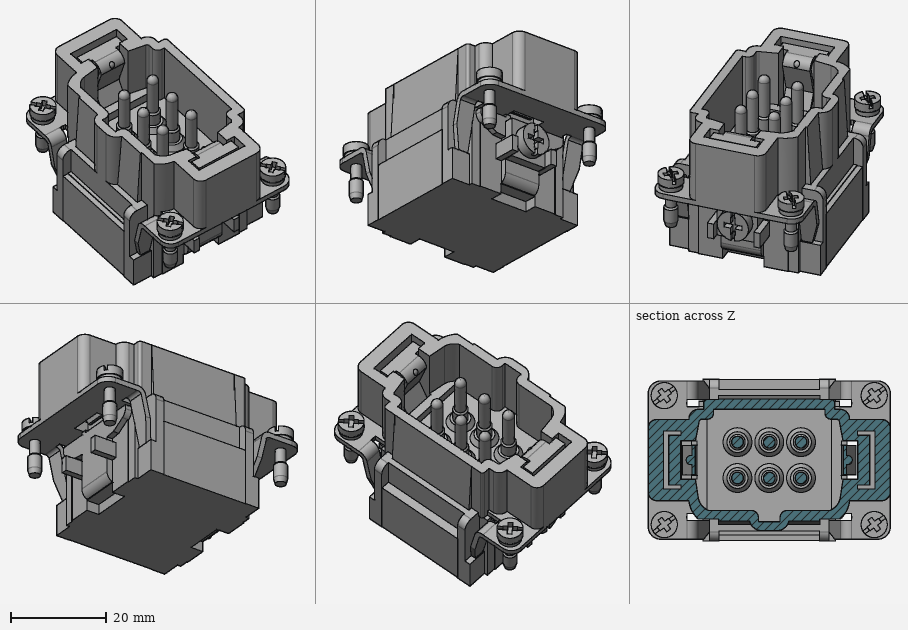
import cadquery as cq
import math

length = 50.85
width = 34.0
height = 33.35

half_length = length / 2
half_width = width / 2

plate_top = 19.55
plate_thickness = 1.2
plate_bottom = plate_top - plate_thickness
plate_half_width = 16.65
plate_corner = 2.7
notch_inner_y = 11.25
tab_inner_y = 12.65
notch_end_x = 17.3
tab_end_z = 7.5
tab_taper_z = 12.7
tab_tip_y = 15.1
tab_bend_x = 17.25
tab_knee_z = 17.85

body_half_x = 14.95
body_half_y = 12.35
body_corner_x = 14.75
body_corner_y = 10.1
foot_half_x = 13.95
foot_height = 7.3
rib_outer_x = 12.55
rib_inner_x = 10.55
rib_rounding = 1.95
panel_height = 12.95
panel_inset = 0.1
panel_step_y = 15.65
panel_step_height = 0.15
shelf_y = 14.85
notch_half_y = 4.65
notch_height = 2.4
notch_depth = 3.05

end_block_half_y = 4.55
end_block_x = 16.3
end_block_top = 17.3
end_block_rounding = 2.25
lug_width = 1.4
lug_x = 20.4
lug_bottom = 7.85
lug_top = 11.4
stop_width = 1.2
stop_y = 3.8
stop_z = 17.7

shroud_end_y = 8.55
shroud_corner = 1.9
wall_y = 12.7
wall_foot_y = 13.55
drafted_half_x = 10.65
key_flat_x = 1.5
key_side_x = 4.15
key_groove_x = 2.25
key_groove_y = 12.9
cavity_floor = 18.8
ledge_x = 13.05
ledge_z = 20.85

latch_inner_x = 15.1
latch_outer_x = 18.55
latch_half_y = 4.0
trench_x = 22.15
trench_half_y = 6.05
plateau_x = 21.1
plateau_half_y = 5.25
plateau_top = 32.6
spring_half_y = 3.1
spring_thickness = 0.7
dimple_radius = 1.0
dimple_x = 16.5
dimple_z = 31.0

pin_pitch_x = 6.65
pin_y = 3.75
pin_diameter = 2.5
pin_tip_z = 32.85
collar_diameter = 3.25
collar_top = 23.4
collar_chamfer = 0.4
cone_base_diameter = 6.05
cone_top_diameter = 4.35
cone_height = 1.25

screw_x = 22.0
screw_y = 13.55
head_diameter = 5.5
head_neck_diameter = 5.0
head_top = 22.75
head_step_z = 20.7
shank_diameter = 2.35
thread_diameter = 3.0
thread_top = 14.6
thread_lead = 0.4
tip_top = 11.45
tip_bottom = 10.2
tip_diameter = 2.35
slot_angle = 37.0
slot_width = 0.75
slot_depth = 1.1
cross_width = 1.0
cross_depth = 1.55
cross_span = 3.05

terminal_x = 18.4
terminal_bottom = 7.7
terminal_top = 16.6
earth_head_diameter = 7.0
earth_head_x = 20.95
earth_cross_span = 4.05


def box(x0, x1, y0, y1, z0, z1):
    """Axis-aligned block between two opposite corners."""
    return cq.Workplane("XY").box(x1 - x0, y1 - y0, z1 - z0, centered=False).translate((x0, y0, z0))


def mirrored_x(solid):
    """The solid together with its mirror image on the other X side."""
    return solid.union(solid.mirror("YZ"))


def mirrored_y(solid):
    """The solid together with its mirror image on the other Y side."""
    return solid.union(solid.mirror("XZ"))


def turned(profile):
    """Revolve an (r, z) profile about the Z axis."""
    return cq.Workplane("XZ").polyline(profile).close().revolve(360, (0, 0), (0, 1))


def lower_body():
    core = box(-body_half_x, body_half_x, -body_corner_y, body_corner_y, 0, plate_bottom)
    core = core.union(box(-body_corner_x, body_corner_x, -body_half_y, body_half_y, 0, plate_bottom))
    notch = box(body_half_x - notch_depth, body_half_x, -notch_half_y, notch_half_y, 0, notch_height)
    return core.cut(mirrored_x(notch))


def side_wall():
    """Foot, panel, shelf and two rounded ribs on the -Y side."""
    inner_y = -body_half_y
    outer_y = -half_width
    foot = box(rib_inner_x, foot_half_x, outer_y, inner_y, 0, foot_height)
    panel = box(-rib_inner_x, rib_inner_x, outer_y + panel_inset, inner_y, 0, panel_height)
    shelf = box(-rib_inner_x, rib_inner_x, -shelf_y, inner_y, 0, plate_top)
    rib = box(rib_inner_x, rib_outer_x, outer_y, inner_y, 0, plate_top)
    rib = rib.edges("|X and >Z and <Y").fillet(rib_rounding)
    return panel.union(shelf).union(mirrored_x(rib.union(foot)))


def mounting_plate():
    plate = box(-half_length, half_length, -plate_half_width, plate_half_width, plate_bottom, plate_top)
    plate = plate.edges("|Z").fillet(plate_corner)
    gap_radius = (tab_inner_y - notch_inner_y) / 2
    gap = box(-notch_end_x + gap_radius, notch_end_x - gap_radius,
              notch_inner_y, tab_inner_y, plate_bottom, plate_top)
    gap = gap.union(box(-tab_bend_x, tab_bend_x, notch_inner_y, half_width, plate_bottom, plate_top))
    round_centre = (notch_end_x - gap_radius, notch_inner_y + gap_radius, plate_bottom)
    round_end = cq.Workplane("XY", origin=round_centre).circle(gap_radius).extrude(plate_thickness)
    return plate.cut(mirrored_y(gap.union(mirrored_x(round_end))))


def bent_tab():
    """Tab at the +X, +Y corner, bent down against the rib."""
    lean = 2.4
    knee_x = rib_outer_x + lean
    bend = math.sqrt(0.5)
    outer_run = tab_bend_x - knee_x
    outer_drop = plate_top - tab_knee_z
    inner_run = outer_run - plate_thickness
    inner_drop = plate_bottom - tab_knee_z
    side = (
        cq.Workplane("XZ", origin=(0, plate_half_width, 0))
        .moveTo(tab_bend_x, plate_top)
        .threePointArc((tab_bend_x - outer_run * bend, tab_knee_z + outer_drop * bend), (knee_x, tab_knee_z))
        .lineTo(rib_outer_x, tab_end_z)
        .lineTo(rib_outer_x + plate_thickness, tab_end_z)
        .lineTo(knee_x + plate_thickness, tab_knee_z)
        .threePointArc((tab_bend_x - inner_run * bend, tab_knee_z + inner_drop * bend),
                       (tab_bend_x, plate_bottom))
        .close()
        .extrude(plate_half_width - tab_inner_y)
    )
    corner = (
        cq.Workplane("YZ")
        .polyline([(plate_half_width, tab_taper_z), (plate_half_width, tab_end_z), (tab_tip_y, tab_end_z)])
        .close()
        .extrude(half_length)
    )
    return side.cut(corner)


def shroud_outline():
    """Outer outline of the shroud, with the rounded key on the -Y side."""
    key_run = key_side_x - key_flat_x
    key_rise = shelf_y - wall_y
    key_radius = (key_run ** 2 + key_rise ** 2) / (2 * key_rise)
    half_angle = math.asin(key_run / key_radius) / 2
    key_mid_x = key_flat_x + key_radius * math.sin(half_angle)
    key_mid_y = shelf_y - key_radius * (1 - math.cos(half_angle))
    end_mid = shroud_corner * (1 - math.sqrt(0.5))
    corner_x = half_length - shroud_corner
    corner_y = shroud_end_y - shroud_corner
    neck_x = 16.9
    shoulder_x = 13.8
    shoulder_y = 10.7
    return (
        cq.Workplane("XY", origin=(0, 0, plate_bottom))
        .moveTo(0, wall_y)
        .lineTo(-shoulder_x + 0.6, wall_y)
        .threePointArc((-shoulder_x + 0.2, wall_y - 0.2), (-shoulder_x, wall_y - 0.6))
        .lineTo(-shoulder_x, shoulder_y)
        .lineTo(-15.05, shoulder_y)
        .threePointArc((-16.3, 10.0), (-neck_x, shroud_end_y))
        .lineTo(-corner_x, shroud_end_y)
        .threePointArc((-half_length + end_mid, shroud_end_y - end_mid), (-half_length, corner_y))
        .lineTo(-half_length, -corner_y)
        .threePointArc((-half_length + end_mid, -shroud_end_y + end_mid), (-corner_x, -shroud_end_y))
        .lineTo(-neck_x, -shroud_end_y)
        .threePointArc((-16.35, -10.35), (-14.95, -body_half_y))
        .lineTo(-drafted_half_x, -body_half_y)
        .lineTo(-drafted_half_x, -wall_y)
        .lineTo(-key_side_x, -wall_y)
        .threePointArc((-key_mid_x, -key_mid_y), (-key_flat_x, -shelf_y))
        .lineTo(0, -shelf_y)
        .mirrorY()
    )


def cavity_outline():
    """Inner outline of the shroud, with the groove behind the key."""
    return (
        cq.Workplane("XY", origin=(0, 0, cavity_floor))
        .moveTo(0, 10.65)
        .lineTo(-11.65, 10.65)
        .lineTo(-11.65, 9.95)
        .threePointArc((-12.05, 8.95), (-13.05, shroud_end_y))
        .lineTo(-14.2, shroud_end_y)
        .threePointArc((-14.55, 8.4), (-14.7, 8.05))
        .lineTo(-15.45, latch_half_y)
        .lineTo(-15.45, -latch_half_y)
        .lineTo(-14.85, -8.05)
        .threePointArc((-14.15, -9.5), (-12.75, -10.55))
        .lineTo(-key_groove_x - 1.55, -10.55)
        .threePointArc((-2.7, -11.0), (-key_groove_x, -12.05))
        .lineTo(-key_groove_x, -key_groove_y)
        .lineTo(0, -key_groove_y)
        .mirrorY()
    )


def drafted_wall():
    """Sloping outer skin of the +Y long wall."""
    return (
        cq.Workplane("YZ", origin=(-drafted_half_x, 0, 0))
        .polyline([(wall_y - 0.5, plate_top), (wall_foot_y, plate_top), (wall_y, height), (wall_y - 0.5, height)])
        .close()
        .extrude(2 * drafted_half_x)
    )


def latch_opening():
    """Slot and trench for the latch at the +X end."""
    trench = box(latch_outer_x, trench_x, -trench_half_y, trench_half_y, plate_top, height)
    plateau = box(latch_outer_x, plateau_x, -plateau_half_y, plateau_half_y, plate_top, plateau_top)
    slot = box(latch_inner_x, latch_outer_x, -latch_half_y, latch_half_y, plate_bottom, height)
    return trench.cut(plateau).union(slot)


def latch_spring():
    """Dimpled leaf at the +X end that rolls over, bends back and returns to the ledge."""
    lip_x = 17.7
    crease = (15.45, 30.5)
    knee = (17.5, 24.15)
    foot = (15.0, 19.85)
    leaf = (
        cq.Workplane("XZ", origin=(0, spring_half_y, 0))
        .moveTo(latch_outer_x, plateau_top)
        .lineTo(lip_x, plateau_top)
        .threePointArc((16.25, 32.05), crease)
        .lineTo(*knee)
        .lineTo(*foot)
        .lineTo(foot[0] + spring_thickness, foot[1])
        .lineTo(knee[0] + spring_thickness, knee[1])
        .lineTo(crease[0] + spring_thickness, crease[1])
        .threePointArc((16.7, 31.5), (lip_x, plateau_top - spring_thickness))
        .lineTo(latch_outer_x, plateau_top - spring_thickness)
        .close()
        .extrude(2 * spring_half_y)
    )
    dimple = cq.Workplane("XY").sphere(dimple_radius).translate((dimple_x, 0, dimple_z))
    return leaf.union(dimple)


def cavity():
    """Space inside the shroud, with a raised ledge left standing at each end."""
    ledge = box(ledge_x, half_length, -half_width, half_width, cavity_floor, ledge_z)
    return cavity_outline().extrude(height - cavity_floor).cut(mirrored_x(ledge))


def shroud():
    walls = shroud_outline().extrude(height - plate_bottom)
    return walls.union(mirrored_y(drafted_wall()))


def contact_pin():
    pin_radius = pin_diameter / 2
    collar_radius = collar_diameter / 2
    base = turned([
        (0, plate_bottom),
        (cone_base_diameter / 2, plate_bottom),
        (cone_base_diameter / 2, cavity_floor),
        (cone_top_diameter / 2, cavity_floor + cone_height),
        (collar_radius, cavity_floor + cone_height),
        (collar_radius, collar_top - collar_chamfer),
        (collar_radius - collar_chamfer, collar_top),
        (0, collar_top),
    ])
    shaft = (cq.Workplane("XY", origin=(0, 0, cavity_floor)).circle(pin_radius)
             .extrude(pin_tip_z - cavity_floor).faces(">Z").edges().fillet(pin_radius - 0.005))
    return base.union(shaft)


def drive_recess(span, slot_length):
    """Crossed recess with one slot running right across, cut downwards from Z = 0."""
    slot = box(-slot_length / 2, slot_length / 2, -slot_width / 2, slot_width / 2, -slot_depth, 0)
    arm = box(-span / 2, span / 2, -cross_width / 2, cross_width / 2, -cross_depth, 0)
    return slot.union(arm).union(arm.rotate((0, 0, 0), (0, 0, 1), 90))


def mounting_screw():
    body = turned([
        (0, head_top),
        (head_diameter / 2, head_top),
        (head_diameter / 2, head_step_z),
        (head_neck_diameter / 2, head_step_z),
        (head_neck_diameter / 2, plate_top),
        (shank_diameter / 2, plate_top),
        (shank_diameter / 2, thread_top + thread_lead),
        (thread_diameter / 2, thread_top),
        (thread_diameter / 2, tip_top),
        (tip_diameter / 2, tip_bottom),
        (0, tip_bottom),
    ])
    recess = drive_recess(cross_span, head_diameter).rotate((0, 0, 0), (0, 0, 1), slot_angle)
    return body.cut(recess.translate((0, 0, head_top)))


def earth_terminal():
    """Square clamp and its screw on the -X end."""
    clamp = box(-terminal_x, -body_half_x, -end_block_half_y, end_block_half_y, terminal_bottom, terminal_top)
    centre_z = (terminal_bottom + terminal_top) / 2
    head_length = earth_head_x - terminal_x
    head = cq.Workplane("XY").circle(earth_head_diameter / 2).extrude(-head_length)
    head = head.cut(drive_recess(earth_cross_span, earth_head_diameter))
    head = head.rotate((0, 0, 0), (0, 1, 0), -90)
    return clamp.union(head.translate((-earth_head_x, 0, centre_z)))


def end_details():
    """Apron, centre block, lugs and plate stops at the +X end."""
    block = box(end_block_x - notch_depth, end_block_x, -end_block_half_y, end_block_half_y,
                notch_height, end_block_top)
    block = block.edges("|Y and >X and <Z").fillet(end_block_rounding)
    apron = (
        cq.Workplane("YZ", origin=(body_half_x - 0.5, 0, 0))
        .moveTo(0, stop_z)
        .lineTo(11.2, stop_z)
        .lineTo(11.2, 16.75)
        .threePointArc((10.9, 15.75), (body_corner_y, 15.05))
        .lineTo(6.85, 13.2)
        .lineTo(0, 12.55)
        .mirrorY()
        .extrude(end_block_x - body_half_x + 0.5)
    )
    lug = box(body_half_x, lug_x, end_block_half_y, end_block_half_y + lug_width, lug_bottom, lug_top)
    stop = box(body_half_x, end_block_x, stop_y - stop_width / 2, stop_y + stop_width / 2,
               stop_z, plate_bottom)
    return block.union(apron).union(mirrored_y(lug.union(stop)))


panel_step = box(-rib_inner_x, rib_inner_x, -panel_step_y, -body_half_y, 0, panel_height + panel_step_height)
result = lower_body().union(mirrored_y(side_wall())).union(panel_step)
result = result.union(mounting_plate()).union(mirrored_x(mirrored_y(bent_tab())))
result = result.union(shroud()).cut(cavity()).cut(mirrored_x(latch_opening()))
result = result.union(mirrored_x(latch_spring())).union(mirrored_x(end_details())).union(earth_terminal())

for x in (-pin_pitch_x, 0, pin_pitch_x):
    for y in (-pin_y, pin_y):
        result = result.union(contact_pin().translate((x, y, 0)))

for x in (-screw_x, screw_x):
    for y in (-screw_y, screw_y):
        result = result.union(mounting_screw().translate((x, y, 0)))

result = result.clean()